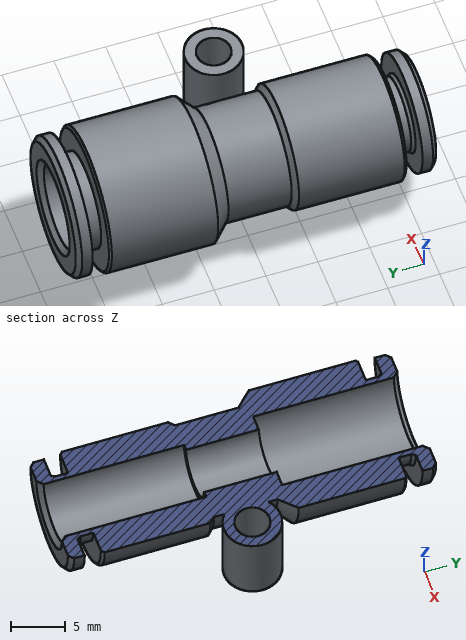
import cadquery as cq

length = 35.1
end_y = length / 2

waist_radius = 5.48

body_length = 10.45

large_body_diameter = 14.0
large_body_radius = large_body_diameter / 2
large_body_chamfer = 0.2
large_collar_radius = 6.75
large_neck_radius = 4.65
large_socket_radius = 4.05

small_body_radius = 6.0
small_body_chamfer = 0.28
small_collar_radius = 5.72
small_neck_radius = 3.58
small_socket_radius = 3.05

collar_thickness = 1.47
collar_chamfer = 0.45
collar_gap = 1.55
neck_flare_length = 0.35
neck_flare_width = 0.2

bore_radius = 2.5
mouth_chamfer = 0.53
socket_depth = 14.05

tube_radius = 2.75
tube_hole_radius = 1.6
tube_x = 7.13
tube_y = -0.42
tube_height = large_body_diameter


def end_outline(body_radius, body_chamfer, collar_radius, neck_radius):
    """(radius, distance from the end face) points from the end face to the waist."""
    body_start = collar_thickness + collar_gap
    body_end = body_start + body_length
    shoulder_end = body_end + body_radius - waist_radius
    return [
        (0, 0),
        (collar_radius - collar_chamfer, 0),
        (collar_radius, collar_chamfer),
        (collar_radius, collar_thickness),
        (neck_radius + neck_flare_width, collar_thickness),
        (neck_radius, collar_thickness + neck_flare_length),
        (neck_radius, body_start),
        (body_radius - body_chamfer, body_start),
        (body_radius, body_start + body_chamfer),
        (body_radius, body_end),
        (waist_radius, shoulder_end),
    ]


def socket_outline(socket_radius):
    """(radius, distance from the end face) points of a tube socket with a tapered mouth."""
    return [
        (0, 0),
        (socket_radius + mouth_chamfer, 0),
        (socket_radius, mouth_chamfer),
        (socket_radius, socket_depth),
        (0, socket_depth),
    ]


def at_large_end(points):
    return [(radius, end_y - distance) for radius, distance in points]


def at_small_end(points):
    return [(radius, distance - end_y) for radius, distance in points]


def revolve_about_y(points):
    return cq.Workplane("XY").polyline(points).close().revolve(360, (0, 0), (0, 1))


def z_cylinder(radius):
    return (
        cq.Workplane("XY")
        .center(tube_x, tube_y)
        .circle(radius)
        .extrude(tube_height / 2, both=True)
    )


large_outline = end_outline(
    large_body_radius, large_body_chamfer, large_collar_radius, large_neck_radius
)
small_outline = end_outline(
    small_body_radius, small_body_chamfer, small_collar_radius, small_neck_radius
)
body = revolve_about_y(at_small_end(small_outline) + at_large_end(large_outline)[::-1])

body = body.union(z_cylinder(tube_radius)).cut(z_cylinder(tube_hole_radius))

large_socket = revolve_about_y(at_large_end(socket_outline(large_socket_radius)))
small_socket = revolve_about_y(at_small_end(socket_outline(small_socket_radius)))
bore = cq.Workplane("XZ").circle(bore_radius).extrude(length / 2, both=True)

result = body.cut(large_socket).cut(small_socket).cut(bore)